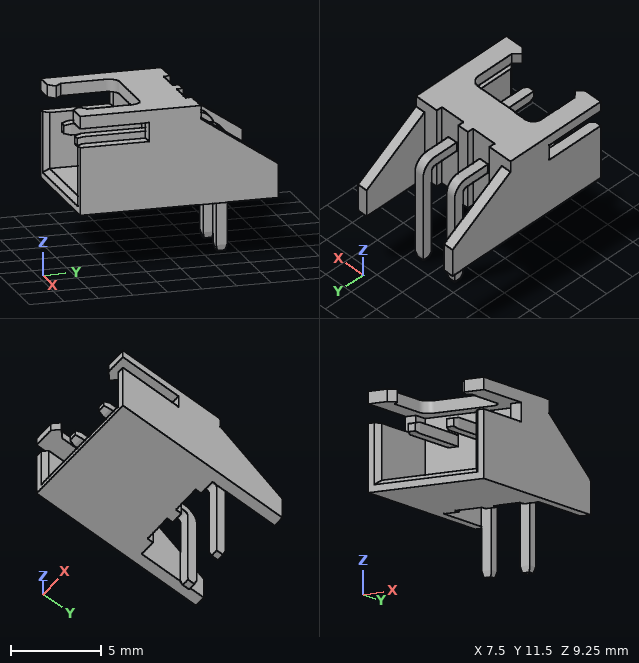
import cadquery as cq


width = 7.5
length = 11.5
height = 5.75
wall = 0.69
roof = 0.72
body_length = 7.02
cavity_depth = 5.0
fin_end_height = 1.98
fin_top_height = 4.97

lead_in_rise = 0.28
lead_in_depth = 0.32

opening_width = 4.97
opening_depth = 4.0
opening_radius = 0.6
barb = 0.4
slot_bottom = 3.93

notch_inner = 0.38
notch_outer = 2.08
notch_depth = 0.39

pin_pitch = 2.48
pin_size = 0.64
pin_top = 3.85
pin_front = 0.53
pin_back = 9.2
pin_bottom = -3.5
bend_radius = 0.92
tip_length = 0.37
tip_inset = 0.09

inner_width = width - 2 * wall
roof_underside = height - roof


def box(x0, x1, y0, y1, z0, z1):
    """Block given by its limits along each axis."""
    return cq.Workplane("XY").box(x1 - x0, y1 - y0, z1 - z0, centered=False).translate((x0, y0, z0))


def make_blank():
    """Body with two sloping fins behind its rear wall."""
    profile = [
        (0, 0),
        (length, 0),
        (length, fin_end_height),
        (body_length, fin_top_height),
        (body_length, height),
        (0, height),
    ]
    blank = cq.Workplane("YZ").polyline(profile).close().extrude(width / 2, both=True)
    gap = box(-inner_width / 2, inner_width / 2, body_length, length, 0, height)
    return blank.cut(gap)


def make_cavity():
    """Open-fronted cavity with a lead-in on its floor and side walls."""
    cavity = box(-inner_width / 2, inner_width / 2, 0, cavity_depth, wall, roof_underside)
    cavity_height = roof_underside - wall
    lead_in = (
        cq.Workplane("XZ")
        .center(0, wall + (cavity_height - lead_in_rise) / 2)
        .rect(inner_width + 2 * lead_in_rise, cavity_height + lead_in_rise)
        .workplane(offset=-lead_in_depth)
        .center(0, lead_in_rise / 2)
        .rect(inner_width, cavity_height)
        .loft(ruled=True)
    )
    return cavity.union(lead_in)


def make_roof_opening():
    """Opening with rounded rear corners and a pointed barb at each front end."""
    half = opening_width / 2
    outline = [
        (-half, 0),
        (-half + barb, barb),
        (-half, 2 * barb),
        (-half, opening_depth),
        (half, opening_depth),
        (half, 2 * barb),
        (half - barb, barb),
        (half, 0),
    ]
    opening = cq.Workplane("XY").workplane(offset=roof_underside).polyline(outline).close().extrude(roof)
    rear_corners = cq.selectors.BoxSelector(
        (-width, opening_depth - barb, 0), (width, opening_depth + barb, height)
    )
    return opening.edges("|Z").edges(rear_corners).fillet(opening_radius)


def make_pin(x):
    """Square pin bent downward behind the body, tapered at both ends."""
    horizontal = box(
        x - pin_size / 2, x + pin_size / 2, pin_front + tip_length, pin_back, pin_top - pin_size, pin_top
    )
    vertical = box(
        x - pin_size / 2, x + pin_size / 2, pin_back - pin_size, pin_back, pin_bottom + tip_length, pin_top
    )
    bend_edge = cq.selectors.NearestToPointSelector((x, pin_back, pin_top))
    inner_edge = cq.selectors.NearestToPointSelector((x, pin_back - pin_size, pin_top - pin_size))
    pin = horizontal.union(vertical)
    pin = pin.edges("|X").edges(bend_edge).fillet(bend_radius)
    pin = pin.edges("|X").edges(inner_edge).fillet(bend_radius - pin_size)
    tip_size = pin_size - 2 * tip_inset
    for face in ("<Y", "<Z"):
        tip = (
            pin.faces(face)
            .workplane(centerOption="CenterOfMass")
            .rect(pin_size, pin_size)
            .workplane(offset=tip_length)
            .rect(tip_size, tip_size)
            .loft(ruled=True, combine=False)
        )
        pin = pin.union(tip)
    return pin


result = make_blank().cut(make_cavity()).cut(make_roof_opening())

result = result.cut(box(-width / 2, width / 2, 0, opening_depth, slot_bottom, roof_underside))

for start in (-notch_outer, notch_inner):
    end = start + notch_outer - notch_inner
    result = result.cut(box(start, end, body_length - notch_depth, body_length, 0, height))

for side in (-1, 1):
    result = result.union(make_pin(side * pin_pitch / 2))